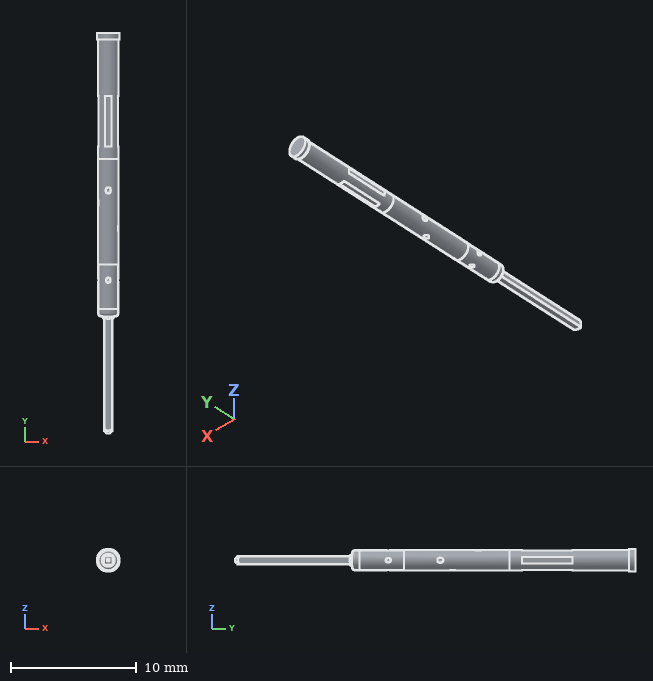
import cadquery as cq
import math

COLLAR_END = 0.5
REAR_TUBE_END = 10.0
MIDDLE_TUBE_END = 18.4
FRONT_TUBE_END = 21.9
NOSE_END = 22.5
NECK_END = 22.7
TOTAL_LENGTH = 31.8

COLLAR_DIAMETER = 1.8
REAR_DIAMETER = 1.65
MIDDLE_DIAMETER = 1.64
FRONT_DIAMETER = 1.61
NOSE_DIAMETER = 1.6
NOSE_ROUND = 0.24
NECK_DIAMETER = 1.0
PIN_WIDTH = 0.64

POINT_END_DIAMETER = 0.2
POINT_LENGTH = 0.35
POINT_BASE_DIAMETER = POINT_END_DIAMETER + 2 * POINT_LENGTH

FLAT_START = 5.0
FLAT_LENGTH = 4.0
FLAT_WIDTH = 0.52

DIMPLE_DEPTH = 0.15
MIDDLE_DIMPLE_DIAMETER = 0.48
MIDDLE_DIMPLE_START = 12.5
MIDDLE_DIMPLE_STEP = 1.0
FRONT_DIMPLE_DIAMETER = 0.4
FRONT_DIMPLE_STATION = 19.63

SIDES = 4
SIDE_ANGLE = 360 / SIDES


def section_plane(station):
    """Plane across the probe axis at a station, facing the pin tip."""
    return cq.Workplane("XZ", origin=(0, -station, 0))


def cylinder(diameter, start, end):
    """Round section between two stations."""
    return section_plane(start).circle(diameter / 2).extrude(end - start)


def cone(start_diameter, end_diameter, start, end):
    """Tapered round section between two stations."""
    sketch = section_plane(start).circle(start_diameter / 2)
    return sketch.workplane(offset=end - start).circle(end_diameter / 2).loft(ruled=True)


def make_body():
    """Collar, three tube sections, rounded nose and the tapered neck."""
    nose = cylinder(NOSE_DIAMETER, FRONT_TUBE_END, NOSE_END)
    nose = nose.faces("<Y").edges().fillet(NOSE_ROUND)
    return (
        cylinder(COLLAR_DIAMETER, 0, COLLAR_END)
        .union(cylinder(REAR_DIAMETER, COLLAR_END, REAR_TUBE_END))
        .union(cylinder(MIDDLE_DIAMETER, REAR_TUBE_END, MIDDLE_TUBE_END))
        .union(cylinder(FRONT_DIAMETER, MIDDLE_TUBE_END, FRONT_TUBE_END))
        .union(nose)
        .union(cone(NECK_DIAMETER, PIN_WIDTH, NOSE_END, NECK_END))
    )


def make_pin():
    """Square contact pin whose end is turned to a conical point."""
    point_start = TOTAL_LENGTH - POINT_LENGTH
    shank = section_plane(FRONT_TUBE_END).rect(PIN_WIDTH, PIN_WIDTH).extrude(TOTAL_LENGTH - FRONT_TUBE_END)
    turned = cylinder(POINT_BASE_DIAMETER, FRONT_TUBE_END, point_start).union(
        cone(POINT_BASE_DIAMETER, POINT_END_DIAMETER, point_start, TOTAL_LENGTH)
    )
    return shank.intersect(turned)


def flat_cutter():
    """Block above the rear tube that leaves a flat of the given width."""
    flat_height = math.sqrt((REAR_DIAMETER / 2) ** 2 - (FLAT_WIDTH / 2) ** 2)
    flat_middle = FLAT_START + FLAT_LENGTH / 2
    sketch = cq.Workplane("XY", origin=(0, -flat_middle, flat_height)).rect(FLAT_WIDTH, FLAT_LENGTH)
    return sketch.extrude(REAR_DIAMETER)


def dimple_cutter(tube_diameter, dimple_diameter, station):
    """Cone pointing inward from the top of a tube section."""
    surface = cq.Vector(0, -station, tube_diameter / 2)
    inward = cq.Vector(0, 0, -1)
    return cq.Workplane(cq.Solid.makeCone(dimple_diameter / 2, 0, DIMPLE_DEPTH, surface, inward))


def cut_side_features(body):
    """Cut one flat and two dimples on each of the four sides."""
    for side in range(SIDES):
        middle_station = MIDDLE_DIMPLE_START + side * MIDDLE_DIMPLE_STEP
        cutters = (
            flat_cutter(),
            dimple_cutter(MIDDLE_DIAMETER, MIDDLE_DIMPLE_DIAMETER, middle_station),
            dimple_cutter(FRONT_DIAMETER, FRONT_DIMPLE_DIAMETER, FRONT_DIMPLE_STATION),
        )
        for cutter in cutters:
            body = body.cut(cutter.rotate((0, 0, 0), (0, 1, 0), -side * SIDE_ANGLE))
    return body


result = cut_side_features(make_body().union(make_pin()))